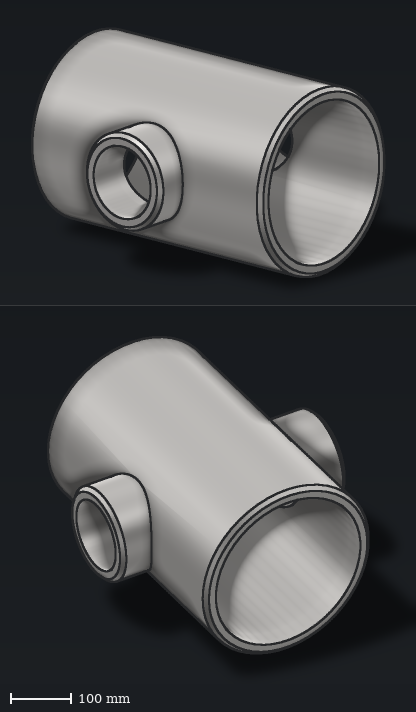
import cadquery as cq

run_length = 508.0
run_diameter = 324.0
run_bore = 282.0

branch_span = 438.0
branch_diameter = 168.0
branch_bore = 125.5

bevel = 7.5


def centred_cylinder(plane, diameter, length):
    """Solid cylinder centred on the origin, along the normal of the plane."""
    return cq.Workplane(plane).circle(diameter / 2).extrude(length / 2, both=True)


run_body = centred_cylinder("YZ", run_diameter, run_length).faces("<X or >X").chamfer(bevel)
branch_body = centred_cylinder("XZ", branch_diameter, branch_span).faces("<Y or >Y").chamfer(bevel)

run_hole = centred_cylinder("YZ", run_bore, run_length)
branch_hole = centred_cylinder("XZ", branch_bore, branch_span)

result = run_body.union(branch_body).cut(run_hole).cut(branch_hole)